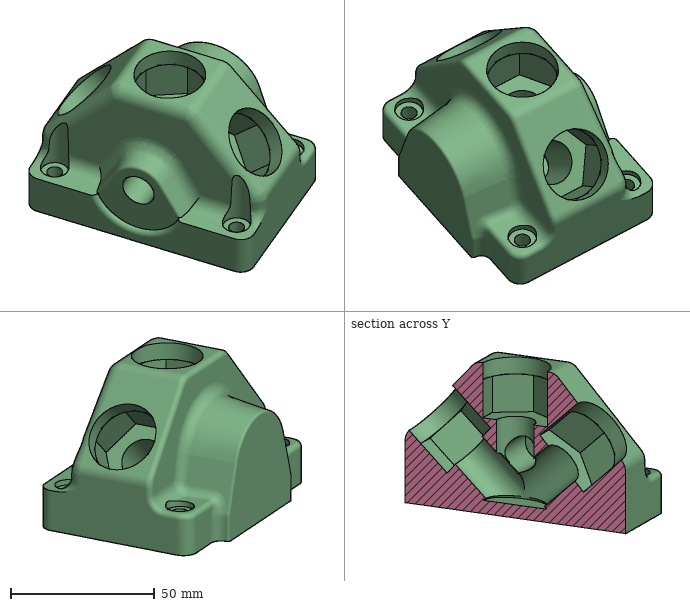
import cadquery as cq
import math

LENGTH = 86.0
BASE_DEPTH = 60.0
BASE_HEIGHT = 15.0
CORNER_RADIUS = 5.0
EDGE_RADIUS = 1.9

TOTAL_HEIGHT = 55.0
BODY_Y = -2.0
BODY_TOP_DEPTH = 31.0
BODY_DRAFT = 2.0
ROOF_HALF_WIDTH = 15.4
EAVE_HEIGHT = 24.8
ROOF_RADIUS = 5.0
ROOT_RADIUS = 5.0

BOSS_Z = 22.0
BOSS_EDGE_RADIUS = 1.0

REAR_FACE_Y = 35.0
REAR_TOP_RADIUS = 18.3
REAR_FLANK_ANGLE = 17.3
REAR_HALF_WIDTH = 23.0
REAR_SHOULDER_RADIUS = 4.0
REAR_DRAFT = 7.5
REAR_ROOT_RADIUS = 4.0

FRONT_FACE_Y = -28.0
FRONT_TOP_RADIUS = 10.0
FRONT_FLANK_ANGLE = 32.0
FRONT_DRAFT = 10.0
FRONT_FOOT_Z = 8.0
RELIEF_RADIUS = 17.2
RELIEF_EDGE_RADIUS = 1.8

MOUTH_DIAMETER = 25.0
MOUTH_DEPTH = 6.2
POCKET_DEPTH = 20.0
TOP_BORE_DIAMETER = 14.4
TOP_BORE_FLOOR_Z = 18.4
SLOPE_BORE_DIAMETER = 15.4
SLOPE_BORE_LENGTH = 60.0
SLOPE_BORE_FLOOR_Z = 5.0
SLOPE_POCKET_X = 32.9

CROSS_BORE_DIAMETER = 12.0
CROSS_BORE_END_Y = 18.0

SCREW_X = 35.0
SCREW_Y = 22.0
SCREW_DIAMETER = 5.5
SCREW_SEAT_DIAMETER = 10.0
SCREW_SEAT_Z = 13.0

HALF_LENGTH = LENGTH / 2
ROOF_DROP = TOTAL_HEIGHT - EAVE_HEIGHT
ROOF_RUN = HALF_LENGTH - ROOF_HALF_WIDTH
ROOF_ANGLE = math.atan2(ROOF_DROP, ROOF_RUN)


def make_space_above(floor_z):
    """Block that encloses the whole part above the given level."""
    space = cq.Workplane("XY", origin=(0, 0, floor_z))
    return space.box(2 * LENGTH, 2 * LENGTH, 2 * TOTAL_HEIGHT, centered=(True, True, False))


def make_base():
    base = cq.Workplane("XY").box(LENGTH, BASE_DEPTH, BASE_HEIGHT, centered=(True, True, False))
    return base.edges("|Z").fillet(CORNER_RADIUS)


def make_body():
    """Gable-shaped block whose front and rear walls lean inwards by the draft angle."""
    gable = (
        cq.Workplane("XZ", origin=(0, BASE_DEPTH / 2, 0))
        .moveTo(-HALF_LENGTH, 0)
        .lineTo(HALF_LENGTH, 0)
        .lineTo(HALF_LENGTH, EAVE_HEIGHT)
        .lineTo(ROOF_HALF_WIDTH, TOTAL_HEIGHT)
        .lineTo(-ROOF_HALF_WIDTH, TOTAL_HEIGHT)
        .lineTo(-HALF_LENGTH, EAVE_HEIGHT)
        .close()
        .extrude(BASE_DEPTH)
    )
    gable = gable.edges("|Y").edges("not <Z").fillet(ROOF_RADIUS)
    top_half = BODY_TOP_DEPTH / 2
    foot_half = top_half + TOTAL_HEIGHT * math.tan(math.radians(BODY_DRAFT))
    drafted_slab = (
        cq.Workplane("YZ", origin=(-HALF_LENGTH, 0, 0))
        .moveTo(BODY_Y - foot_half, 0)
        .lineTo(BODY_Y + foot_half, 0)
        .lineTo(BODY_Y + top_half, TOTAL_HEIGHT)
        .lineTo(BODY_Y - top_half, TOTAL_HEIGHT)
        .close()
        .extrude(LENGTH)
    )
    return gable.intersect(drafted_slab)


def make_front_boss():
    """Drafted boss with a round crown and two straight flanks that run down into the base."""
    angle = math.radians(FRONT_FLANK_ANGLE)
    tangent_x = FRONT_TOP_RADIUS * math.cos(angle)
    tangent_z = BOSS_Z + FRONT_TOP_RADIUS * math.sin(angle)
    foot_x = tangent_x + (tangent_z - FRONT_FOOT_Z) * math.tan(angle)
    outline = (
        cq.Workplane("XZ", origin=(0, FRONT_FACE_Y, 0))
        .moveTo(foot_x, FRONT_FOOT_Z)
        .lineTo(tangent_x, tangent_z)
        .threePointArc((0, BOSS_Z + FRONT_TOP_RADIUS), (-tangent_x, tangent_z))
        .lineTo(-foot_x, FRONT_FOOT_Z)
        .close()
    )
    boss = outline.extrude(FRONT_FACE_Y - BODY_Y, taper=-FRONT_DRAFT)
    return boss.intersect(make_space_above(0))


def make_rear_boss():
    """Drafted boss with a round crown, sloping flanks, rounded shoulders and upright lower sides."""
    angle = math.radians(REAR_FLANK_ANGLE)
    tangent_x = REAR_TOP_RADIUS * math.cos(angle)
    tangent_z = BOSS_Z + REAR_TOP_RADIUS * math.sin(angle)
    corner_z = tangent_z - (REAR_HALF_WIDTH - tangent_x) / math.tan(angle)
    shoulder_x = REAR_HALF_WIDTH - REAR_SHOULDER_RADIUS
    shoulder_z = corner_z - REAR_SHOULDER_RADIUS * math.tan(angle / 2)

    def shoulder_point(turn):
        x = shoulder_x + REAR_SHOULDER_RADIUS * math.cos(turn)
        return x, shoulder_z + REAR_SHOULDER_RADIUS * math.sin(turn)

    mid_x, mid_z = shoulder_point(angle / 2)
    end_x, end_z = shoulder_point(angle)
    foot_z = -BASE_HEIGHT
    outline = (
        cq.Workplane("XZ", origin=(0, REAR_FACE_Y, 0))
        .moveTo(REAR_HALF_WIDTH, foot_z)
        .lineTo(REAR_HALF_WIDTH, shoulder_z)
        .threePointArc((mid_x, mid_z), (end_x, end_z))
        .lineTo(tangent_x, tangent_z)
        .threePointArc((0, BOSS_Z + REAR_TOP_RADIUS), (-tangent_x, tangent_z))
        .lineTo(-end_x, end_z)
        .threePointArc((-mid_x, mid_z), (-REAR_HALF_WIDTH, shoulder_z))
        .lineTo(-REAR_HALF_WIDTH, foot_z)
        .close()
    )
    boss = outline.extrude(REAR_FACE_Y - BODY_Y, taper=-REAR_DRAFT)
    return boss.intersect(make_space_above(0))


def make_housing():
    """Base, body and front boss, with filleted wall feet and a rounded outer rim."""
    housing = make_base().union(make_body()).union(make_front_boss())
    margin = 0.1
    foot_half = BODY_TOP_DEPTH / 2 + (TOTAL_HEIGHT - BASE_HEIGHT) * math.tan(math.radians(BODY_DRAFT))
    top_half = BODY_TOP_DEPTH / 2
    crown_z = BOSS_Z + FRONT_TOP_RADIUS
    front_roots = cq.selectors.BoxSelector(
        (margin - HALF_LENGTH, BODY_Y - foot_half - margin, BASE_HEIGHT - margin),
        (HALF_LENGTH - margin, BODY_Y - top_half, crown_z),
    )
    rear_foot = cq.selectors.BoxSelector(
        (-HALF_LENGTH, BODY_Y + top_half, BASE_HEIGHT - margin),
        (HALF_LENGTH, BODY_Y + foot_half + margin, BASE_HEIGHT + margin),
    )
    housing = housing.edges(front_roots + rear_foot).fillet(ROOT_RADIUS)
    return housing.faces(">Z").edges("|X").fillet(EDGE_RADIUS)


def round_boss_rim(housing, face_y, top_radius):
    """Round the edge of a boss face along its crown and flanks."""
    crown = cq.selectors.NearestToPointSelector((0, face_y, BOSS_Z + top_radius))
    return housing.edges(crown).fillet(BOSS_EDGE_RADIUS)


def add_rear_boss(housing):
    """Join the rear boss and fillet the chain of edges around its root."""
    joined = housing.union(make_rear_boss())
    root_y = BODY_Y + BODY_TOP_DEPTH / 2
    crown = cq.selectors.NearestToPointSelector((0, root_y, BOSS_Z + REAR_TOP_RADIUS))
    return joined.edges(crown).fillet(REAR_ROOT_RADIUS)


def make_relief():
    """Round relief in the base front, with its rim rounded outwards, as a turned cutter."""
    round_start_y = -BASE_DEPTH / 2 + RELIEF_EDGE_RADIUS
    rim_radius = RELIEF_RADIUS + RELIEF_EDGE_RADIUS
    mid_radius = rim_radius - RELIEF_EDGE_RADIUS * math.sqrt(0.5)
    mid_y = round_start_y - RELIEF_EDGE_RADIUS * math.sqrt(0.5)
    outer_y = -BASE_DEPTH / 2 - 1
    profile = (
        cq.Workplane("XY", origin=(0, 0, BOSS_Z))
        .moveTo(0, FRONT_FACE_Y)
        .lineTo(RELIEF_RADIUS, FRONT_FACE_Y)
        .lineTo(RELIEF_RADIUS, round_start_y)
        .threePointArc((mid_radius, mid_y), (rim_radius, -BASE_DEPTH / 2))
        .lineTo(rim_radius, outer_y)
        .lineTo(0, outer_y)
        .close()
    )
    return profile.revolve(360, (0, 0, 0), (0, 1, 0))


def make_nut_pocket(plane):
    """Round mouth opening into a hexagonal nut pocket that is wider across its corners."""
    mouth = cq.Workplane(plane).circle(MOUTH_DIAMETER / 2).extrude(-MOUTH_DEPTH)
    corner_diameter = MOUTH_DIAMETER / math.cos(math.pi / 6)
    hexagon = (
        cq.Workplane(plane)
        .workplane(offset=-MOUTH_DEPTH)
        .transformed(rotate=(0, 0, 90))
        .polygon(6, corner_diameter)
        .extrude(MOUTH_DEPTH - POCKET_DEPTH)
    )
    return mouth.union(hexagon)


def make_bore(plane, diameter, depth):
    return cq.Workplane(plane).circle(diameter / 2).extrude(-depth)


def cut_nut_pockets(housing):
    """Nut pockets in the top and in both roof slopes; their bores meet the cross bore."""
    slope_z = TOTAL_HEIGHT - (SLOPE_POCKET_X - ROOF_HALF_WIDTH) * math.tan(ROOF_ANGLE)
    top_plane = cq.Plane(origin=(0, BODY_Y, TOTAL_HEIGHT), xDir=(1, 0, 0), normal=(0, 0, 1))
    top_bore = make_bore(top_plane, TOP_BORE_DIAMETER, TOTAL_HEIGHT - TOP_BORE_FLOOR_Z)
    housing = housing.cut(make_nut_pocket(top_plane)).cut(top_bore)
    for side in (-1, 1):
        slope_plane = cq.Plane(
            origin=(side * SLOPE_POCKET_X, BODY_Y, slope_z),
            xDir=(-side * math.cos(ROOF_ANGLE), 0, math.sin(ROOF_ANGLE)),
            normal=(side * math.sin(ROOF_ANGLE), 0, math.cos(ROOF_ANGLE)),
        )
        slope_bore = make_bore(slope_plane, SLOPE_BORE_DIAMETER, SLOPE_BORE_LENGTH)
        slope_bore = slope_bore.intersect(make_space_above(SLOPE_BORE_FLOOR_Z))
        housing = housing.cut(make_nut_pocket(slope_plane)).cut(slope_bore)
    return housing


def make_cross_bore():
    bore = cq.Workplane("XZ", origin=(0, FRONT_FACE_Y, BOSS_Z)).circle(CROSS_BORE_DIAMETER / 2)
    return bore.extrude(FRONT_FACE_Y - CROSS_BORE_END_Y)


def cut_screw_holes(housing):
    """Screw holes through the flange corners, with round seats that also clear the body walls."""
    centres = [(x, y) for x in (-SCREW_X, SCREW_X) for y in (-SCREW_Y, SCREW_Y)]
    holes = cq.Workplane("XY").pushPoints(centres).circle(SCREW_DIAMETER / 2).extrude(BASE_HEIGHT)
    seats = (
        cq.Workplane("XY", origin=(0, 0, SCREW_SEAT_Z))
        .pushPoints(centres)
        .circle(SCREW_SEAT_DIAMETER / 2)
        .extrude(TOTAL_HEIGHT)
    )
    return housing.cut(seats).cut(holes)


part = make_housing()
part = round_boss_rim(part, FRONT_FACE_Y, FRONT_TOP_RADIUS)
part = add_rear_boss(part)
part = round_boss_rim(part, REAR_FACE_Y, REAR_TOP_RADIUS)
part = part.cut(make_relief())
part = cut_nut_pockets(part)
part = part.cut(make_cross_bore())
result = cut_screw_holes(part)